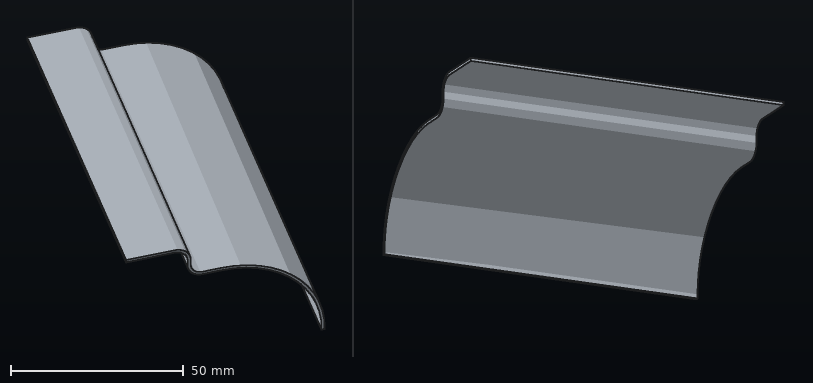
import cadquery as cq
import math

length = 100.0
depth = 60.1
height = 42.7
thickness = 1.0

arch_radius = 31.1
arch_center_height = 1.0
lower_inner_radius = 3.5
upper_inner_radius = 4.0
flange_width = 14.6

lower_outer_radius = lower_inner_radius + thickness
upper_outer_radius = upper_inner_radius + thickness
arch_inner_radius = arch_radius - thickness
arch_end = depth - arch_radius
foot_outer = arch_end + math.sqrt(arch_radius**2 - arch_center_height**2)
foot_inner = arch_end + math.sqrt(arch_inner_radius**2 - arch_center_height**2)
shelf_top = arch_center_height + arch_radius
shelf_bottom = shelf_top - thickness
riser_back = flange_width + upper_outer_radius
riser_front = riser_back - thickness
shelf_end = riser_front + lower_outer_radius
flange_bottom = height - thickness
lower_bend_top = shelf_top + lower_inner_radius
upper_bend_bottom = height - upper_outer_radius

profile = (
    cq.Workplane("YZ")
    .moveTo(foot_outer, 0)
    .threePointArc((depth, arch_center_height), (arch_end, shelf_top))
    .lineTo(shelf_end, shelf_top)
    .radiusArc((riser_back, lower_bend_top), lower_inner_radius)
    .lineTo(riser_back, upper_bend_bottom)
    .radiusArc((flange_width, height), -upper_outer_radius)
    .lineTo(0, height)
    .lineTo(0, flange_bottom)
    .lineTo(flange_width, flange_bottom)
    .radiusArc((riser_front, upper_bend_bottom), upper_inner_radius)
    .lineTo(riser_front, lower_bend_top)
    .radiusArc((shelf_end, shelf_bottom), -lower_outer_radius)
    .lineTo(arch_end, shelf_bottom)
    .threePointArc((depth - thickness, arch_center_height), (foot_inner, 0))
    .close()
)

result = profile.extrude(length)